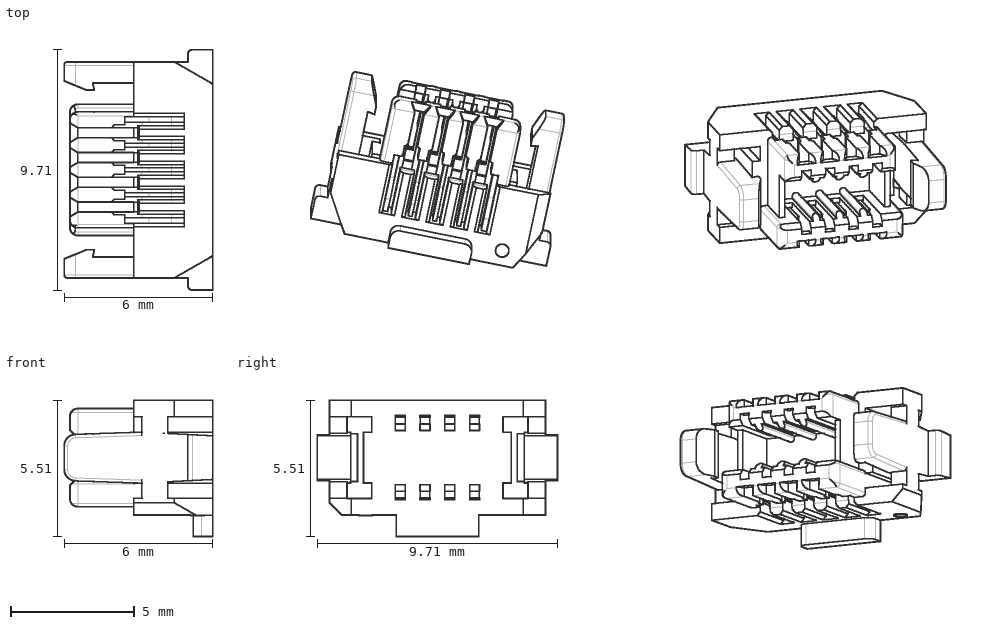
import cadquery as cq

REAR_X = 3.19
HALF_WIDTH = 4.363
HALF_HEIGHT = 2.32
PLATE_INNER_Z = 1.64
REAR_CHAMFER_X = 1.56
REAR_CHAMFER_Y = 0.89
KEY_CHAMFER = 0.5

CORE_HALF_WIDTH = 2.986
CORE_NECK_HALF_WIDTH = 2.652
CORE_NECK_Z = 1.03
COLUMN_X = (0.33, 1.378)
COLUMN_INNER_Y = 3.647

TIP_X = -2.58
TONGUE_INNER_Z = 0.905
TONGUE_OUTER_Z = 1.985
UPPER_TONGUE_HALF_WIDTH = 2.341
LOWER_TONGUE_HALF_WIDTH = CORE_NECK_HALF_WIDTH
TIP_RADIUS = 0.33
SIDE_RADIUS = 0.15
LEAD_CHAMFER = 0.21

WALL_FRONT_X = -1.59
WALL_INNER_Y = 2.11
RECESS_FLOOR_X = 0.5

PITCH = 1.0
SLOT_CENTRES = [PITCH * step for step in (-1.5, -0.5, 0.5, 1.5)]
PAD_CENTRES = [PITCH * step for step in (-1, 0, 1)]
SLOT_WIDTH = 0.39
SLOT_FRONT_X = TIP_X + TIP_RADIUS
BRIDGE_Z = (1.354, 1.632)
SLOT_FLARE = 0.2
BAR_WIDTH = 0.3
BAR_CREST_Z = 0.67

COMB_REAR_X = 2.03
COMB_HALF_WIDTH = 2.145
COMB_CHAMFER = 0.14
COMB_FLOOR_Z = 1.2
SLOPE_FRONT_X = 0.32
SLOPE_REAR_X = 1.51
COMB_REAR_FLOOR_Z = 1.1
CHANNEL_FLOOR_Z = 1.10
PAD_NOTCH_X = -0.79
PAD_NOTCH_DEPTH = 0.125
PAD_NOTCH_LEAD = 0.1
PAD_END_X = -0.36
FIN_WIDTH = 0.157
FIN_SLOPE_X = 0.61
FIN_FRONT_Z = 1.78
FIN_REAR_Z = 1.88
OUTER_FIN_INNER_Y = 1.93
TOOTH_FRONT_X = 0.166
TOOTH_WIDTH = 0.58
TOOTH_BOTTOM_Z = 1.70
TOOTH_SLOPE_Z = 2.015
TOOTH_SLOPE_X = 0.06

LATCH_TIP_X = -2.81
LATCH_INNER_Y = 3.506
LATCH_TIP_INNER_Y = 3.589
HOOK_Y = 3.22
HOOK_FRONT_X = -1.917
HOOK_BACK_X = -1.585
HOOK_ROOT_X = -1.65
LATCH_CORNER_RADIUS = 0.47
LATCH_TIP_Z = 0.925
LATCH_ROOT_Z = 1.03
LATCH_EDGE_RADIUS = 0.13
SHANK_REAR_Z = 0.88
EAR_FRONT_X = 2.187
EAR_HALF_WIDTH = 4.855
EAR_RADIUS = 0.18

PEG_FRONT_X = 2.40
PEG_HALF_WIDTH = 1.672
PEG_BOTTOM_Z = -3.19
PEG_RADIUS = 0.335
MARK_CENTRE = (2.57, -2.905)
MARK_DIAMETER = 0.54
MARK_HEIGHT = 0.03

MARGIN = 0.5


def box(x_range, y_range, z_range):
    """Box between the given limits along each axis."""
    size = [limits[1] - limits[0] for limits in (x_range, y_range, z_range)]
    corner = (x_range[0], y_range[0], z_range[0])
    return cq.Workplane("XY").box(*size, centered=False).translate(corner)


def around(centre, width):
    """Limits of a band of the given width about a centre."""
    return (centre - width / 2, centre + width / 2)


def prism_x(points, x_range):
    """Polygon of (y, z) points extruded along X."""
    sketch = cq.Workplane("YZ", origin=(x_range[0], 0, 0)).polyline(points).close()
    return sketch.extrude(x_range[1] - x_range[0])


def housing_half():
    """Upper plate, half of the core and the upper half of both columns."""
    shoulder_y = HALF_WIDTH - REAR_CHAMFER_Y
    shoulder_x = REAR_X - REAR_CHAMFER_X
    outline = [
        (0, -HALF_WIDTH),
        (shoulder_x, -HALF_WIDTH),
        (REAR_X, -shoulder_y),
        (REAR_X, shoulder_y),
        (shoulder_x, HALF_WIDTH),
        (0, HALF_WIDTH),
    ]
    plate = cq.Workplane("XY", origin=(0, 0, PLATE_INNER_Z)).polyline(outline).close()
    half = plate.extrude(HALF_HEIGHT - PLATE_INNER_Z)
    half = half.union(box((0, REAR_X), around(0, 2 * CORE_HALF_WIDTH), (0, CORE_NECK_Z)))
    half = half.union(box((0, REAR_X), around(0, 2 * CORE_NECK_HALF_WIDTH), (0, PLATE_INNER_Z)))
    for side in (-1, 1):
        y_range = sorted((side * COLUMN_INNER_Y, side * HALF_WIDTH))
        half = half.union(box(COLUMN_X, y_range, (0, PLATE_INNER_Z)))
    return half


def side_wall(side):
    """Upper half of the wall joining the tongues on one side (-1 or 1)."""
    y_range = sorted((side * WALL_INNER_Y, side * UPPER_TONGUE_HALF_WIDTH))
    return box((WALL_FRONT_X, 0), y_range, (0, TONGUE_INNER_Z))


def recess():
    """Cutter continuing the gap between the tongues into the core."""
    return box((0, RECESS_FLOOR_X), around(0, 2 * WALL_INNER_Y), (0, TONGUE_INNER_Z))


def tongue_blank(half_width, inner_edges_rounded):
    """Tongue with rounded corners and edges, trimmed to its side outline."""
    side_view = (
        cq.Workplane("XZ", origin=(0, half_width, 0))
        .moveTo(0, TONGUE_INNER_Z)
        .lineTo(TIP_X + LEAD_CHAMFER, TONGUE_INNER_Z)
        .lineTo(TIP_X, TONGUE_INNER_Z + LEAD_CHAMFER)
        .lineTo(TIP_X, TONGUE_OUTER_Z)
        .lineTo(0, TONGUE_OUTER_Z)
        .close()
        .extrude(2 * half_width)
        .edges("<X and >Z")
        .fillet(TIP_RADIUS)
    )
    blank = box((TIP_X, 0), (-half_width, half_width), (TONGUE_INNER_Z, TONGUE_OUTER_Z))
    blank = blank.edges("|Z and <X").fillet(TIP_RADIUS)
    blank = blank.faces(">Z").edges("not >X").fillet(SIDE_RADIUS)
    if inner_edges_rounded:
        blank = blank.faces("<Z").edges("not >X").fillet(SIDE_RADIUS)
    return blank.intersect(side_view)


def guide_bar(centre):
    """Round-crested bar on the mating face, its front end continuing the lead chamfer."""
    radius = BAR_WIDTH / 2
    bar = (
        cq.Workplane("YZ", origin=(TIP_X, 0, 0))
        .moveTo(centre - radius, TONGUE_INNER_Z)
        .lineTo(centre - radius, BAR_CREST_Z + radius)
        .threePointArc((centre, BAR_CREST_Z), (centre + radius, BAR_CREST_Z + radius))
        .lineTo(centre + radius, TONGUE_INNER_Z)
        .close()
        .extrude(RECESS_FLOOR_X - TIP_X)
    )
    chamfer_rise = TONGUE_INNER_Z + LEAD_CHAMFER - BAR_CREST_Z
    lead = (
        cq.Workplane("XZ", origin=(0, centre + radius, 0))
        .polyline([
            (TIP_X, BAR_CREST_Z + chamfer_rise),
            (TIP_X, BAR_CREST_Z),
            (TIP_X + chamfer_rise, BAR_CREST_Z),
        ])
        .close()
        .extrude(BAR_WIDTH)
    )
    return bar.cut(lead)


def contact_slot(centre):
    """Cutter for one slot: through the tongue, under and over its tip bridge, and through the core."""
    band = around(centre, SLOT_WIDTH)
    half_slot = SLOT_WIDTH / 2
    cutter = box((SLOT_FRONT_X, 0), band, (0, HALF_HEIGHT))
    cutter = cutter.union(box((TIP_X - MARGIN, SLOT_FRONT_X), band, (0, BRIDGE_Z[0])))
    flare = (
        cq.Workplane("XY", origin=(0, 0, BRIDGE_Z[1]))
        .polyline([
            (SLOT_FRONT_X, centre - half_slot),
            (TIP_X, centre - half_slot - SLOT_FLARE),
            (TIP_X, centre + half_slot + SLOT_FLARE),
            (SLOT_FRONT_X, centre + half_slot),
        ])
        .close()
        .extrude(HALF_HEIGHT - BRIDGE_Z[1])
    )
    notch_half = half_slot + PAD_NOTCH_DEPTH
    notch = (
        cq.Workplane("XY", origin=(0, 0, COMB_FLOOR_Z))
        .polyline([
            (PAD_NOTCH_X - PAD_NOTCH_LEAD, centre - half_slot),
            (PAD_NOTCH_X, centre - notch_half),
            (0, centre - notch_half),
            (0, centre + notch_half),
            (PAD_NOTCH_X, centre + notch_half),
            (PAD_NOTCH_X - PAD_NOTCH_LEAD, centre + half_slot),
        ])
        .close()
        .extrude(HALF_HEIGHT - COMB_FLOOR_Z)
    )
    channel = box((0, REAR_X), band, (CHANNEL_FLOOR_Z, TOOTH_BOTTOM_Z))
    return cutter.union(flare).union(notch).union(channel)


def comb_opening():
    """Cutter for the opening in the plate, its long edges chamfered and its floor sloping down."""
    opening = (
        cq.Workplane("XZ", origin=(0, COMB_HALF_WIDTH, 0))
        .polyline([
            (PAD_END_X, COMB_FLOOR_Z),
            (SLOPE_FRONT_X, COMB_FLOOR_Z),
            (SLOPE_REAR_X, COMB_REAR_FLOOR_Z),
            (COMB_REAR_X, COMB_REAR_FLOOR_Z),
            (COMB_REAR_X, HALF_HEIGHT),
            (PAD_END_X, HALF_HEIGHT),
        ])
        .close()
        .extrude(2 * COMB_HALF_WIDTH)
    )
    top_half = COMB_HALF_WIDTH + COMB_CHAMFER
    bevel = [
        (-COMB_HALF_WIDTH, HALF_HEIGHT - COMB_CHAMFER),
        (COMB_HALF_WIDTH, HALF_HEIGHT - COMB_CHAMFER),
        (top_half, HALF_HEIGHT),
        (-top_half, HALF_HEIGHT),
    ]
    return opening.union(prism_x(bevel, (0, COMB_REAR_X)))


def fin(y_range):
    """Low wall running back from the end of a pad, its top rising part way."""
    outline = [
        (PAD_END_X, COMB_REAR_FLOOR_Z),
        (COMB_REAR_X, COMB_REAR_FLOOR_Z),
        (COMB_REAR_X, FIN_REAR_Z),
        (SLOPE_REAR_X, FIN_REAR_Z),
        (FIN_SLOPE_X, FIN_FRONT_Z),
        (PAD_END_X, FIN_FRONT_Z),
    ]
    side_view = cq.Workplane("XZ", origin=(0, y_range[1], 0)).polyline(outline).close()
    return side_view.extrude(y_range[1] - y_range[0])


def tooth(centre):
    """Comb tooth reaching forward from the plate over a slot."""
    half = TOOTH_WIDTH / 2
    section = [
        (centre - half, TOOTH_BOTTOM_Z),
        (centre + half, TOOTH_BOTTOM_Z),
        (centre + half, HALF_HEIGHT - COMB_CHAMFER),
        (centre + half - COMB_CHAMFER, HALF_HEIGHT),
        (centre - half + COMB_CHAMFER, HALF_HEIGHT),
        (centre - half, HALF_HEIGHT - COMB_CHAMFER),
    ]
    body = prism_x(section, (TOOTH_FRONT_X, COMB_REAR_X))
    slope = (
        cq.Workplane("XZ", origin=(0, centre + half, 0))
        .polyline([
            (TOOTH_FRONT_X, TOOTH_SLOPE_Z),
            (TOOTH_FRONT_X + TOOTH_SLOPE_X, HALF_HEIGHT),
            (TOOTH_FRONT_X, HALF_HEIGHT),
        ])
        .close()
        .extrude(TOOTH_WIDTH)
    )
    return body.cut(slope)


def connector_half(tongue_half_width, inner_edges_rounded):
    """Everything above Z = 0 except the latches: housing half, tongue, slots and comb."""
    half = housing_half().cut(recess()).union(tongue_blank(tongue_half_width, inner_edges_rounded))
    for centre in PAD_CENTRES:
        half = half.union(guide_bar(centre))
    for side in (-1, 1):
        half = half.union(side_wall(side))
    half = half.cut(comb_opening())
    for centre in SLOT_CENTRES:
        half = half.cut(contact_slot(centre))
    for centre in PAD_CENTRES:
        half = half.union(fin(around(centre, FIN_WIDTH)))
    for side in (-1, 1):
        half = half.union(fin(sorted((side * OUTER_FIN_INNER_Y, side * COMB_HALF_WIDTH))))
    for centre in SLOT_CENTRES:
        half = half.union(tooth(centre))
    return half


def latch():
    """Latch arm on the +Y side with its hook, its shank through the column and the rear ear."""
    root_x = COLUMN_X[0]
    arm = (
        cq.Workplane("XZ", origin=(0, HALF_WIDTH, 0))
        .polyline([
            (root_x, -LATCH_ROOT_Z),
            (LATCH_TIP_X, -LATCH_TIP_Z),
            (LATCH_TIP_X, LATCH_TIP_Z),
            (root_x, LATCH_ROOT_Z),
        ])
        .close()
        .extrude(HALF_WIDTH - HOOK_Y)
        .edges("|Y and <X")
        .fillet(LATCH_CORNER_RADIUS)
        .faces(">Y")
        .edges("not >X")
        .fillet(LATCH_EDGE_RADIUS)
    )
    plan = [
        (LATCH_TIP_X, HALF_WIDTH),
        (LATCH_TIP_X, LATCH_TIP_INNER_Y),
        (HOOK_FRONT_X, HOOK_Y),
        (HOOK_BACK_X, HOOK_Y),
        (HOOK_ROOT_X, LATCH_INNER_Y),
        (root_x, LATCH_INNER_Y),
        (root_x, HALF_WIDTH),
    ]
    hook = cq.Workplane("XY", origin=(0, 0, -LATCH_ROOT_Z)).polyline(plan).close()
    arm = arm.intersect(hook.extrude(2 * LATCH_ROOT_Z))
    shank_side_view = (
        cq.Workplane("XZ", origin=(0, EAR_HALF_WIDTH, 0))
        .polyline([
            (root_x, -LATCH_ROOT_Z),
            (REAR_X, -SHANK_REAR_Z),
            (REAR_X, SHANK_REAR_Z),
            (root_x, LATCH_ROOT_Z),
        ])
        .close()
        .extrude(EAR_HALF_WIDTH - LATCH_INNER_Y)
    )
    z_range = (-LATCH_ROOT_Z, LATCH_ROOT_Z)
    ear = box((EAR_FRONT_X, REAR_X), (LATCH_INNER_Y, EAR_HALF_WIDTH), z_range)
    ear = ear.edges("|Z and <X and >Y").fillet(EAR_RADIUS)
    shank_plan_view = box((root_x, REAR_X), (LATCH_INNER_Y, HALF_WIDTH), z_range).union(ear)
    return arm.union(shank_side_view.intersect(shank_plan_view))


def key_chamfer():
    """Cutter for the polarising chamfer along the lower -Y edge of the housing."""
    corner = [
        (-HALF_WIDTH, -HALF_HEIGHT),
        (-HALF_WIDTH + KEY_CHAMFER, -HALF_HEIGHT),
        (-HALF_WIDTH, -HALF_HEIGHT + KEY_CHAMFER),
    ]
    return prism_x(corner, (0, REAR_X))


def locating_peg():
    """Peg under the rear of the housing with rounded front corners."""
    peg = box((PEG_FRONT_X, REAR_X), around(0, 2 * PEG_HALF_WIDTH), (PEG_BOTTOM_Z, -HALF_HEIGHT))
    return peg.edges("|Z and <X").fillet(PEG_RADIUS)


def pin_one_mark():
    """Thin raised disc under the housing."""
    plane = cq.Workplane("XY", origin=(*MARK_CENTRE, -HALF_HEIGHT - MARK_HEIGHT))
    return plane.circle(MARK_DIAMETER / 2).extrude(MARK_HEIGHT)


upper = connector_half(UPPER_TONGUE_HALF_WIDTH, inner_edges_rounded=False)
lower = connector_half(LOWER_TONGUE_HALF_WIDTH, inner_edges_rounded=True).mirror("XY")
lower = lower.cut(key_chamfer())
result = upper.union(lower).union(latch()).union(latch().mirror("XZ"))
result = result.union(locating_peg()).union(pin_one_mark()).clean()